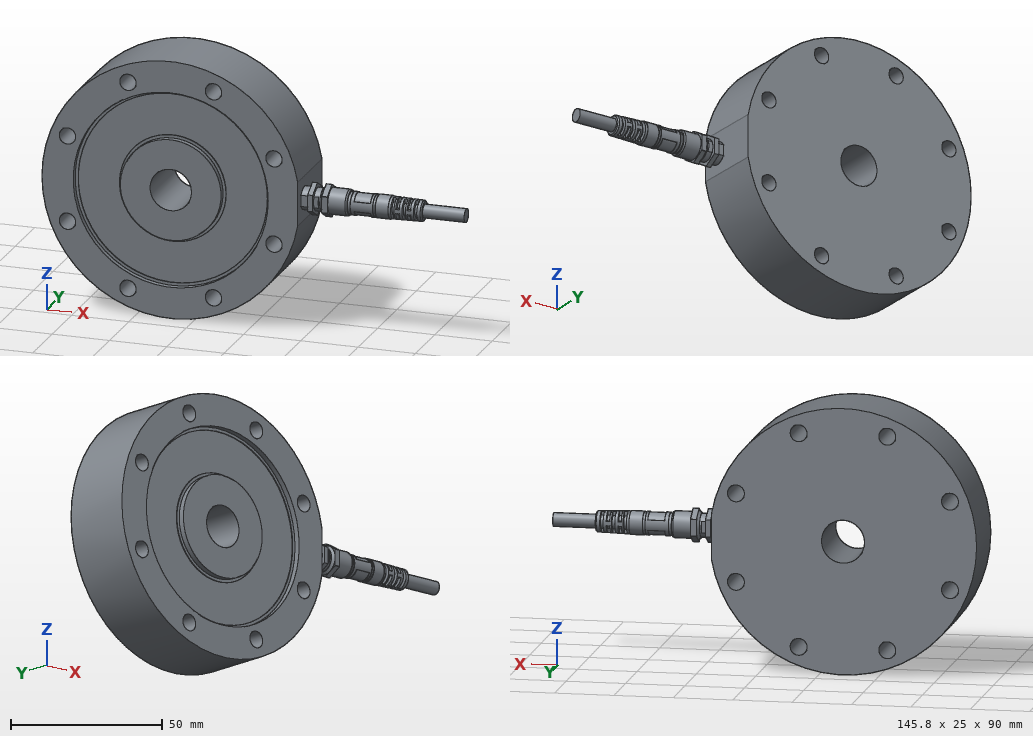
import cadquery as cq
import math

housing_diameter = 90.0
housing_thickness = 25.0
front_face = -housing_thickness / 2
bore_diameter = 14.5
hub_diameter = 35.1
pocket_diameter = 68.0
pocket_depth = 2.0
ledge_width = 1.0
ledge_step = 0.3
cable_flat_x = 44.3
bolt_circle_diameter = 78.0
bolt_hole_diameter = 5.7
bolt_hole_count = 8

cable_axis_offset = 7.0
cable_axis_y = front_face + cable_axis_offset
housing_edge = housing_diameter / 2
stub_seat_depth = 1.5
stub_seat = housing_edge - stub_seat_depth

overall_length = 145.8
cable_end = overall_length - housing_edge
nut_start = 47.1
nut_length = 1.7
flats_end = 50.5
hex_cone_start = 51.0
hex_start = 51.9
hex_end = 54.0
barrel_chamfer_start = 59.9
barrel_end = 60.5
neck_end = 61.5
window_start = 62.8
window_end = 68.5
plug_end = 69.4
collar_start = 70.3
boot_start = 74.8
boot_end = 86.3

stub_diameter = 8.0
stub_flats = 7.0
hex_flats = 9.9
hex_rim_diameter = 11.4
hex_cone_diameter = 8.3
barrel_diameter = 9.0
barrel_tip_diameter = 8.5
neck_diameter = 7.5
plug_diameter = 8.0
window_diameter = 7.6
window_edge = 1.7
boot_start_diameter = 7.7
boot_end_diameter = 7.1
boot_chamfer = 0.5
cable_diameter = 4.7

slot_width = 1.2
slot_pitch = 4.0
side_slot_start = 75.6
side_slot_count = 3
corner_slot_start = 77.4
corner_slot_count = 2
web_width = 1.5
thin_web_width = 0.7


def rod(start, end, diameter):
    """Cylinder on the cable axis between two X stations."""
    plane = cq.Workplane("YZ", origin=(start, cable_axis_y, 0))
    return plane.circle(diameter / 2).extrude(end - start)


def cone(start, end, start_diameter, end_diameter):
    """Truncated cone on the cable axis between two X stations."""
    solid = cq.Solid.makeCone(
        start_diameter / 2,
        end_diameter / 2,
        end - start,
        cq.Vector(start, cable_axis_y, 0),
        cq.Vector(1, 0, 0),
    )
    return cq.Workplane(solid)


def hexagon(start, end):
    """Hexagonal prism on the cable axis with a corner at the top."""
    corner_diameter = hex_flats / math.cos(math.pi / 6)
    plane = cq.Workplane("YZ", origin=(start, cable_axis_y, 0))
    return plane.transformed(rotate=(0, 0, 90)).polygon(6, corner_diameter).extrude(end - start)


def block(start, end, y_size, z_size):
    """Box centred on the cable axis between two X stations."""
    return cq.Workplane("XY").box(end - start, y_size, z_size).translate(
        ((start + end) / 2, cable_axis_y, 0)
    )


def make_housing():
    front = cq.Workplane("XZ", origin=(0, front_face, 0))
    body = front.circle(housing_diameter / 2).extrude(-housing_thickness)
    pocket = front.circle(pocket_diameter / 2).circle(hub_diameter / 2).extrude(-pocket_depth)
    membrane = (
        front.circle(pocket_diameter / 2 - ledge_width)
        .circle(hub_diameter / 2 + ledge_width)
        .extrude(-pocket_depth - ledge_step)
    )
    bore = front.circle(bore_diameter / 2).extrude(-housing_thickness)
    bolt_holes = (
        front.polarArray(bolt_circle_diameter / 2, 180 / bolt_hole_count, 360, bolt_hole_count)
        .circle(bolt_hole_diameter / 2)
        .extrude(-housing_thickness)
    )
    stub_recess = make_stub(stub_seat, housing_edge)
    beyond_flat = cq.Workplane("XY").box(housing_diameter, housing_diameter, housing_diameter)
    beyond_flat = beyond_flat.translate((cable_flat_x + housing_diameter / 2, 0, 0))
    body = body.cut(beyond_flat)
    return body.cut(pocket).cut(membrane).cut(bore).cut(bolt_holes).cut(stub_recess)


def make_stub(start, end):
    """Threaded stub with two flats facing front and back."""
    return rod(start, end, stub_diameter).intersect(block(start, end, stub_flats, stub_diameter))


def make_socket():
    """Stub, chamfered hexagon and barrel of the fixed half of the connector."""
    head = cone(hex_cone_start, hex_start, hex_cone_diameter, hex_flats).union(
        rod(hex_start, hex_end, hex_rim_diameter)
    )
    head = head.intersect(hexagon(hex_cone_start, hex_end))
    barrel = rod(hex_end, barrel_chamfer_start, barrel_diameter).union(
        cone(barrel_chamfer_start, barrel_end, barrel_diameter, barrel_tip_diameter)
    )
    runout = rod(flats_end, hex_cone_start, stub_diameter)
    return make_stub(stub_seat, flats_end).union(runout).union(head).union(barrel)


def make_nut():
    nut_end = nut_start + nut_length
    return hexagon(nut_start, nut_end).cut(rod(nut_start, nut_end, stub_diameter))


def make_plug():
    """Plug body with a window recessed into its top and bottom."""
    neck = rod(barrel_end, neck_end, neck_diameter)
    sleeve = rod(neck_end, plug_end, plug_diameter)
    window = rod(window_start, window_end, plug_diameter)
    window = window.cut(rod(window_start, window_end, window_diameter))
    window = window.cut(block(window_start, window_end, plug_diameter, 2 * window_edge))
    return neck.union(sleeve).cut(window)


def make_collar():
    link = rod(plug_end, collar_start, neck_diameter)
    return link.union(rod(collar_start, boot_start, plug_diameter))


def slot_ring(start, web):
    """Ring cut around the boot at one station, leaving the web standing."""
    return rod(start, start + slot_width, plug_diameter).cut(web)


def make_boot():
    """Tapered strain relief whose slots leave narrow webs between its rings."""
    boot = cone(boot_start, boot_end, boot_start_diameter, boot_end_diameter)
    boot = boot.faces(">X").chamfer(boot_chamfer)
    tall_web = block(boot_start, boot_end, web_width, plug_diameter)
    level_web = block(boot_start, boot_end, plug_diameter, web_width)
    thin_tall_web = block(boot_start, boot_end, thin_web_width, plug_diameter)
    crossed_webs = level_web.union(thin_tall_web)
    for index in range(side_slot_count):
        boot = boot.cut(slot_ring(side_slot_start + index * slot_pitch, tall_web))
    for index in range(corner_slot_count):
        boot = boot.cut(slot_ring(corner_slot_start + index * slot_pitch, crossed_webs))
    return boot.cut(rod(boot_start, boot_end, cable_diameter))


def make_cable():
    return rod(boot_start, cable_end, cable_diameter)


housing = make_housing()
socket = make_socket()
nut = make_nut()
plug = make_plug()
collar = make_collar()
boot = make_boot()
cable = make_cable()

result = cq.Compound.makeCompound(
    [
        housing.val(),
        socket.val(),
        nut.val(),
        plug.val(),
        collar.val(),
        boot.val(),
        cable.val(),
    ]
)